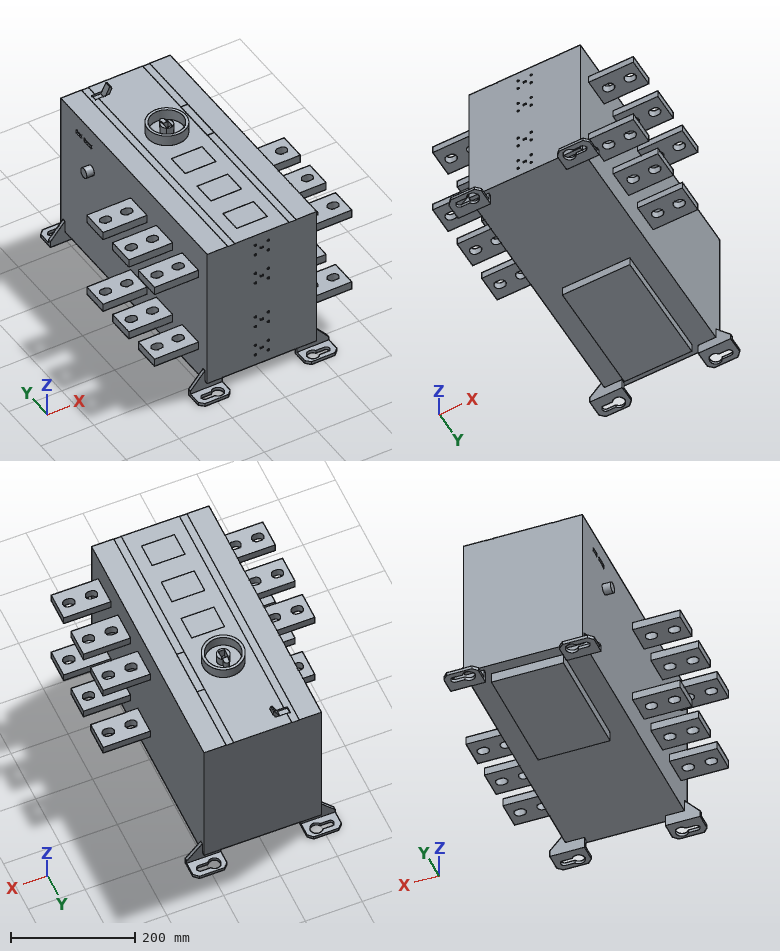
import cadquery as cq

BODY_WIDTH = 206.5
BODY_LENGTH = 455.5
BODY_BOTTOM = 21.0
BODY_TOP = 294.5

BASE_WIDTH = 125.0
BASE_Y_MIN = 5.5
BASE_Y_MAX = 208.0
BASE_THICKNESS = 18.0

BAR_SPAN = 372.0
BAR_WIDTH = 50.5
BAR_THICKNESS = 15.0
BAR_LEVELS = (82.0, 234.0)
POLE_PITCH = 80.0
MIDDLE_POLE_Y = -95.0
POLE_YS = [MIDDLE_POLE_Y + step * POLE_PITCH for step in (-1, 0, 1)]
BAR_SLOT_LENGTH = 20.0
BAR_SLOT_WIDTH = 15.0
BAR_SLOT_XS = (126.0, 166.0)

FOOT_LENGTH = 506.0
FOOT_X_INNER = 70.5
FOOT_X_OUTER = 130.5
FOOT_THICKNESS = 6.0
FOOT_DEPTH = 38.5
FOOT_CHAMFER = 8.0
FOOT_Y_OUTER = FOOT_LENGTH / 2
FOOT_Y_INNER = FOOT_Y_OUTER - FOOT_DEPTH
UPRIGHT_HEIGHT = 43.5
UPRIGHT_TIP_HEIGHT = 12.0
KEYHOLE_X = 89.5
KEYHOLE_Y = 238.5
KEYHOLE_DIAMETER = 21.0
KEYHOLE_SLOT_END_X = 120.5
KEYHOLE_SLOT_WIDTH = 11.5

STRIP_X_CENTER = 57.5
STRIP_WIDTH = 13.0
STRIP_DEPTH = 0.5
LATCH_Y_MIN = 27.0
LATCH_Y_MAX = 109.5
LATCH_DEPTH = 1.0
WINDOW_WIDTH = 57.5
WINDOW_LENGTH = 43.0
WINDOW_DEPTH = 0.5

SEAT_Y = 68.0
COLLAR_DIAMETER = 71.0
COLLAR_BORE = 60.5
COLLAR_HEIGHT = 20.0
SHAFT_DIAMETER = 22.5
SHAFT_HEIGHT = 16.0
SOCKET_WIDTH = 10.5
SOCKET_Y_MIN = 60.0
SOCKET_Y_MAX = 74.0
NOSE_WIDTH = 9.0
NOSE_TIP_Y = 86.0
NOSE_HEIGHT = 14.0

LEVER_Y = 201.5
LEVER_WIDTH = 12.0
LEVER_TOP = 309.5
LEVER_ROOT_X = -40.0
LEVER_ROOT_THICKNESS = 6.5
LEVER_TIP_X = -30.5
LEVER_TIP_FLAT = 2.0
LEVER_BACK_X = -26.5
LEVER_BACK_DROP = 5.0
LEVER_POCKET_X = -57.0
LEVER_POCKET_DEPTH = 4.0

PIN_DIAMETER = 18.5
PIN_LENGTH = 14.0
PIN_Y = 132.5
PIN_Z = 211.0
SIDE_SLOT_Z = 259.0
SIDE_SLOT_HEIGHT = 6.0
SIDE_SLOT_DEPTH = 2.5
SIDE_SLOT_RANGES = ((133.0, 155.5), (164.0, 179.5))

GROUP_OFFSET = 30.0
GROUP_HOLE_DX = 24.5
GROUP_HOLE_DZ = 20.0
GROUP_HOLE_DIAMETER = 4.0
GROUP_SLIT_WIDTH = 5.5
GROUP_SLIT_HEIGHT = 2.5
GROUP_DEPTH = 2.5


def block(x_range, y_range, z_range):
    """Rectangular block between the given limits."""
    corner = cq.Vector(x_range[0], y_range[0], z_range[0])
    size = [high - low for low, high in (x_range, y_range, z_range)]
    return cq.Workplane(cq.Solid.makeBox(*size, corner))


def centered(middle, size):
    """Limits of a stretch of the given size about its middle."""
    return middle - size / 2, middle + size / 2


def make_housing():
    body = block(centered(0, BODY_WIDTH), centered(0, BODY_LENGTH), (BODY_BOTTOM, BODY_TOP))
    base_z = (BODY_BOTTOM - BASE_THICKNESS, BODY_BOTTOM)
    return body.union(block(centered(0, BASE_WIDTH), (BASE_Y_MIN, BASE_Y_MAX), base_z))


def make_bar(y, z):
    slot_points = [(side * x, 0) for side in (-1, 1) for x in BAR_SLOT_XS]
    return (
        cq.Workplane("XY")
        .box(BAR_SPAN, BAR_WIDTH, BAR_THICKNESS)
        .faces(">Z").workplane()
        .pushPoints(slot_points)
        .slot2D(BAR_SLOT_LENGTH, BAR_SLOT_WIDTH)
        .cutThruAll()
        .translate((0, y, z))
    )


def make_foot():
    """Foot at the +X, +Y corner."""
    x_range = (FOOT_X_INNER, FOOT_X_OUTER)
    plate = block(x_range, (FOOT_Y_INNER, FOOT_Y_OUTER), (0, FOOT_THICKNESS))
    plate = plate.edges("|Z and >Y").chamfer(FOOT_CHAMFER)

    body_side = BODY_WIDTH / 2
    upright = (
        cq.Workplane("XZ", origin=(0, FOOT_Y_INNER, 0))
        .moveTo(FOOT_X_INNER, 0)
        .lineTo(FOOT_X_OUTER, 0)
        .lineTo(FOOT_X_OUTER, UPRIGHT_TIP_HEIGHT)
        .lineTo(body_side, UPRIGHT_HEIGHT)
        .lineTo(FOOT_X_INNER, UPRIGHT_HEIGHT)
        .close()
        .extrude(-FOOT_THICKNESS)
    )

    keyhole = (
        cq.Workplane("XY", origin=(KEYHOLE_X, KEYHOLE_Y, 0))
        .circle(KEYHOLE_DIAMETER / 2)
        .extrude(FOOT_THICKNESS)
    )
    slot_reach = KEYHOLE_SLOT_END_X - KEYHOLE_X
    slot = (
        cq.Workplane("XY", origin=(KEYHOLE_X + slot_reach / 2, KEYHOLE_Y, 0))
        .slot2D(slot_reach, KEYHOLE_SLOT_WIDTH)
        .extrude(FOOT_THICKNESS)
    )
    return plate.union(upright).cut(keyhole).cut(slot)


def add_feet(part):
    right_rear = make_foot()
    left_rear = right_rear.mirror("YZ")
    for foot in (right_rear, left_rear):
        part = part.union(foot).union(foot.mirror("XZ"))
    return part


def cut_top_lines(part):
    body_y = centered(0, BODY_LENGTH)
    for side in (-1, 1):
        strip_x = centered(side * STRIP_X_CENTER, STRIP_WIDTH)
        part = part.cut(block(strip_x, body_y, (BODY_TOP - STRIP_DEPTH, BODY_TOP)))
    latch_x = centered(STRIP_X_CENTER, STRIP_WIDTH)
    part = part.cut(block(latch_x, (LATCH_Y_MIN, LATCH_Y_MAX), (BODY_TOP - LATCH_DEPTH, BODY_TOP)))
    for y in POLE_YS:
        window_z = (BODY_TOP - WINDOW_DEPTH, BODY_TOP)
        part = part.cut(block(centered(0, WINDOW_WIDTH), centered(y, WINDOW_LENGTH), window_z))
    return part


def make_handle_seat():
    seat = cq.Workplane("XY", origin=(0, SEAT_Y, BODY_TOP))
    collar = seat.circle(COLLAR_DIAMETER / 2).circle(COLLAR_BORE / 2).extrude(COLLAR_HEIGHT)
    shaft = seat.circle(SHAFT_DIAMETER / 2).extrude(SHAFT_HEIGHT)

    nose_radius = NOSE_WIDTH / 2
    nose_reach = NOSE_TIP_Y - SEAT_Y
    nose = (
        seat.moveTo(-nose_radius, 0)
        .lineTo(nose_radius, 0)
        .lineTo(nose_radius, nose_reach - nose_radius)
        .threePointArc((0, nose_reach), (-nose_radius, nose_reach - nose_radius))
        .close()
        .extrude(NOSE_HEIGHT)
    )
    wall_step = nose.translate((0, 0, NOSE_HEIGHT))
    socket_z = (BODY_TOP, BODY_TOP + SHAFT_HEIGHT)
    socket = block(centered(0, SOCKET_WIDTH), (SOCKET_Y_MIN, SOCKET_Y_MAX), socket_z)
    return collar.union(shaft.union(nose).cut(wall_step).cut(socket))


def add_lever(part):
    pocket_floor = BODY_TOP - LEVER_POCKET_DEPTH
    lever_y = centered(LEVER_Y, LEVER_WIDTH)
    pocket = block((LEVER_POCKET_X, LEVER_ROOT_X + LEVER_ROOT_THICKNESS), lever_y, (pocket_floor, BODY_TOP))
    lever = (
        cq.Workplane("XZ", origin=(0, lever_y[1], 0))
        .moveTo(LEVER_ROOT_X, pocket_floor)
        .lineTo(LEVER_TIP_X, LEVER_TOP)
        .lineTo(LEVER_TIP_X + LEVER_TIP_FLAT, LEVER_TOP)
        .lineTo(LEVER_BACK_X, LEVER_TOP - LEVER_BACK_DROP)
        .lineTo(LEVER_ROOT_X + LEVER_ROOT_THICKNESS, pocket_floor)
        .close()
        .extrude(LEVER_WIDTH)
    )
    return part.cut(pocket).union(lever)


def add_side_details(part):
    side_x = -BODY_WIDTH / 2
    pin = (
        cq.Workplane("YZ", origin=(side_x, PIN_Y, PIN_Z))
        .circle(PIN_DIAMETER / 2)
        .extrude(-PIN_LENGTH)
    )
    part = part.union(pin)
    slot_z = centered(SIDE_SLOT_Z, SIDE_SLOT_HEIGHT)
    for y_range in SIDE_SLOT_RANGES:
        part = part.cut(block((side_x, side_x + SIDE_SLOT_DEPTH), y_range, slot_z))
    return part


def cut_hole_groups(part):
    group_centers = [(0, z + side * GROUP_OFFSET) for z in BAR_LEVELS for side in (-1, 1)]
    front = cq.Workplane("XZ", origin=(0, -BODY_LENGTH / 2, 0))
    for x, z in group_centers:
        group = front.center(x, z)
        holes = (
            group.rect(GROUP_HOLE_DX, GROUP_HOLE_DZ, forConstruction=True)
            .vertices()
            .circle(GROUP_HOLE_DIAMETER / 2)
            .extrude(-GROUP_DEPTH)
        )
        slit = group.rect(GROUP_SLIT_WIDTH, GROUP_SLIT_HEIGHT).extrude(-GROUP_DEPTH)
        part = part.cut(holes).cut(slit)
    return part


result = make_housing()
for bar_z in BAR_LEVELS:
    for pole_y in POLE_YS:
        result = result.union(make_bar(pole_y, bar_z))
result = add_feet(result)
result = cut_top_lines(result)
result = result.union(make_handle_seat())
result = add_lever(result)
result = add_side_details(result)
result = cut_hole_groups(result)